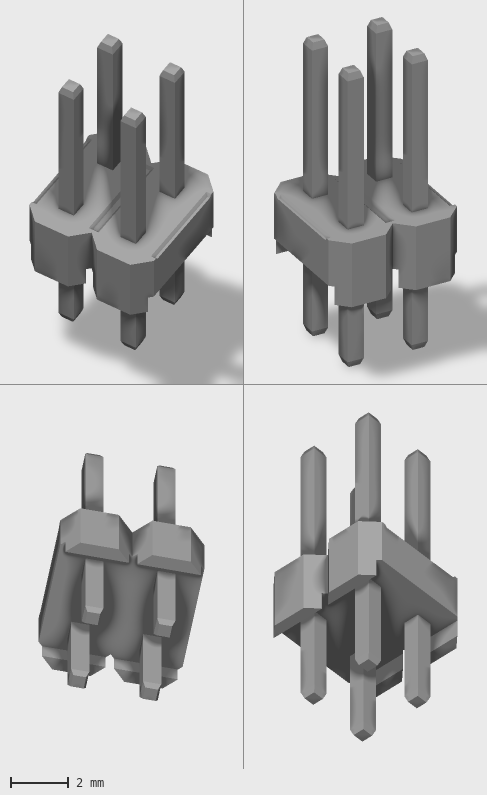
import cadquery as cq

columns = 2
rows = 2
pitch = 2.54

total_height = 11.6
pin_side = 0.64
pin_tip_side = 0.45
pin_tip_height = 0.25
pin_below_body = 2.98

body_height = 2.52
corner_chamfer = 0.59
body_length = columns * pitch
body_width = rows * pitch

foot_height = 0.72
foot_thickness = 0.45
foot_inset = 0.15

groove_width = 0.41
groove_length = 3.62
groove_depth = 0.1

body_bottom = pin_below_body
body_top = body_bottom + body_height


def centred_positions(count, spacing):
    """Coordinates of evenly spaced items, centred on zero."""
    return [(i - (count - 1) / 2) * spacing for i in range(count)]


column_positions = centred_positions(columns, pitch)
row_positions = centred_positions(rows, pitch)
module_edges = centred_positions(columns + 1, pitch)


def make_module(x):
    """One column of the body: a block with chamfered vertical edges."""
    block = cq.Workplane("XY").box(pitch, body_width, body_height, centered=(True, True, False))
    return block.edges("|Z").chamfer(corner_chamfer).translate((x, 0, body_bottom))


def make_underside_channel():
    """Clearance running along X between the two rows of feet."""
    channel_width = body_width - 2 * foot_thickness
    channel = cq.Workplane("XY").box(body_length, channel_width, foot_height, centered=(True, True, False))
    return channel.translate((0, 0, body_bottom))


def make_foot_gap(x):
    """Clearance running along Y that separates the feet at a module edge."""
    gap = cq.Workplane("XY").box(2 * foot_inset, body_width, foot_height, centered=(True, True, False))
    return gap.translate((x, 0, body_bottom))


def make_break_groove(x):
    """Shallow groove along Y, narrowing to a flat floor."""
    floor_width = groove_width - 2 * groove_depth
    floor_length = groove_length - 2 * groove_depth
    return (
        cq.Workplane("XY", origin=(x, 0, body_top))
        .rect(groove_width, groove_length)
        .workplane(offset=-groove_depth)
        .rect(floor_width, floor_length)
        .loft(ruled=True)
    )


def make_pin_tip(base_z, direction):
    """Tapered pin end; direction is +1 for upward and -1 for downward."""
    return (
        cq.Workplane("XY", origin=(0, 0, base_z))
        .rect(pin_side, pin_side)
        .workplane(offset=direction * pin_tip_height)
        .rect(pin_tip_side, pin_tip_side)
        .loft(ruled=True)
    )


def make_pin():
    """Square pin standing on z = 0, tapered at both ends."""
    shank_height = total_height - 2 * pin_tip_height
    shank = cq.Workplane("XY", origin=(0, 0, pin_tip_height)).rect(pin_side, pin_side).extrude(shank_height)
    lower_tip = make_pin_tip(pin_tip_height, -1)
    upper_tip = make_pin_tip(total_height - pin_tip_height, 1)
    return shank.union(lower_tip).union(upper_tip)


body = cq.Workplane("XY")
for column_x in column_positions:
    body = body.union(make_module(column_x))

body = body.cut(make_underside_channel())
for edge_x in module_edges:
    body = body.cut(make_foot_gap(edge_x))
    body = body.cut(make_break_groove(edge_x))

result = body
pin = make_pin()
for column_x in column_positions:
    for row_y in row_positions:
        result = result.union(pin.translate((column_x, row_y, 0)))